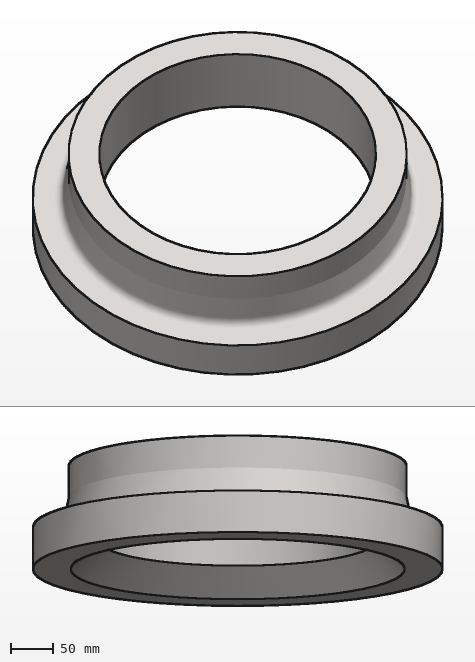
import cadquery as cq
import math

total_height = 124.0
flange_diameter = 485.0
flange_thickness = 50.0
neck_diameter = 400.0
neck_straight_length = 39.0
neck_taper_angle = 12.0
neck_fillet_radius = 10.5
wall_thickness = 36.4
bore_chamfer = 34.0

selection_margin = 1.0

flange_radius = flange_diameter / 2
neck_radius = neck_diameter / 2
bore_radius = neck_radius - wall_thickness
taper_top = total_height - neck_straight_length
taper_height = taper_top - flange_thickness
taper_base_radius = neck_radius + taper_height * math.tan(math.radians(neck_taper_angle))


def revolve_about_axis(profile):
    """Turn a closed radius-height profile fully around the Z axis."""
    return profile.revolve(360, (0, 0, 0), (0, 1, 0))


def make_flange():
    """Flat disc that seats against the mating face."""
    return cq.Workplane("XY").circle(flange_radius).extrude(flange_thickness)


def make_neck():
    """Cone rising from the flange into a straight spigot."""
    profile = (
        cq.Workplane("XZ")
        .moveTo(0, flange_thickness)
        .lineTo(taper_base_radius, flange_thickness)
        .lineTo(neck_radius, taper_top)
        .lineTo(neck_radius, total_height)
        .lineTo(0, total_height)
        .close()
    )
    return revolve_about_axis(profile)


def fillet_neck_root(body):
    """Round the inner corner where the cone meets the flange."""
    reach = (taper_base_radius + flange_radius) / 2
    root_edge = cq.selectors.BoxSelector(
        (-reach, -reach, flange_thickness - selection_margin),
        (reach, reach, flange_thickness + selection_margin),
        boundingbox=True,
    )
    return body.edges(root_edge).fillet(neck_fillet_radius)


def make_bore():
    """Through bore that flares out at 45 degrees towards the bottom face."""
    profile = (
        cq.Workplane("XZ")
        .lineTo(bore_radius + bore_chamfer, 0)
        .lineTo(bore_radius, bore_chamfer)
        .lineTo(bore_radius, total_height)
        .lineTo(0, total_height)
        .close()
    )
    return revolve_about_axis(profile)


body = fillet_neck_root(make_flange().union(make_neck()))
result = body.cut(make_bore())